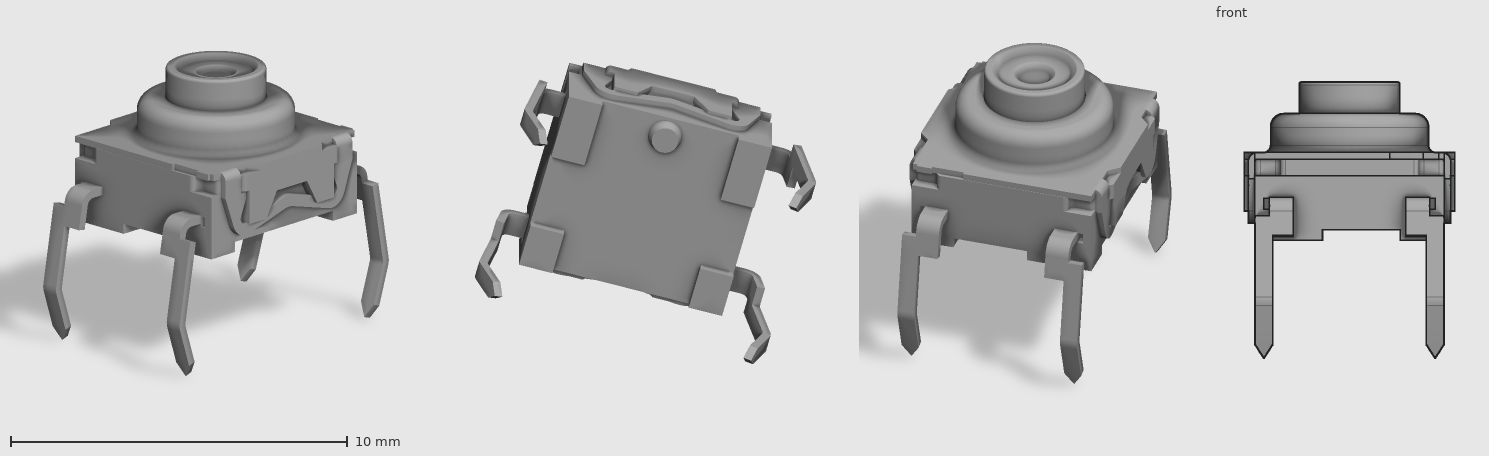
import cadquery as cq
import math

SIN_45 = math.sin(math.pi / 4)

body_width = 6.25
core_half_x = 2.81
half_body = body_width / 2

housing_top = 1.92
seal_top = 2.41
sheet = 0.2
cover_top = seal_top + sheet

foot_height = 0.31
foot_inner_y = 2.1
foot_left_x = -0.8
foot_right_x = 1.51
peg_x = -2.2
peg_base_radius = 0.5
peg_tip_radius = 0.395

latch_half_y = 1.81
latch_bottom = 0.87
notch_half_bottom = 1.085
notch_half_top = 0.65
notch_top = 1.65
notch_fillet = 0.25

seal_tab_half_y = 2.05
seal_radius = 0.15
seal_corner_y = half_body - 2 * seal_radius
wave_inner_x = 1.9
wave_outer_x = wave_inner_x + 2 * seal_radius

cover_half_y = 3.11
tongue_half_y = 1.28
edge_notch_depth = 0.09
edge_notch_start = 1.2
edge_notch_end = 2.19
corner_notch_start = 2.655

dome_top = 3.77
dome_diameter = 4.7
dome_bore = 4.3
dome_shoulder = 0.4
dome_flare = 0.21
button_hole = 3.05

stirrup_inner_y = 2.05
stirrup_outer_y = 2.72
bend_start_x = 2.745
bend_outer = core_half_x + sheet - bend_start_x
bend_inner = bend_outer - sheet
bend_z = cover_top - bend_outer
leg_taper_z = 1.83
leg_step_y = 1.85
leg_step_z = 1.84
leg_slope_z = 1.63
beam_outer_corner = (2.19, 0.395)
beam_inner_corner = (2.22, 0.76)
beam_outer_peak = 1.0
beam_inner_peak = 1.37
beam_outer_fillet = 0.56
beam_inner_fillet = 0.2
beam_peak_fillet = 0.6

plunger_top = 4.71
plunger_diameter = 3.0
plunger_round = 0.09
dish_rim_radius = 1.26
dish_floor_radius = 1.07
dish_depth = 0.17
dimple_rim_radius = 0.62
dimple_floor_radius = 0.44
dimple_depth = 0.15
dish_fillet = 0.045

lead_sheet = 0.25
lead_top = 1.27
lead_half_span = 4.485
lead_embed = 0.54
lead_bend_outer = 0.475
knee_outer = 0.52
knee_z = -1.77
upper_lean = math.radians(10.4)
lower_lean = math.radians(18)
lead_tip_z = -3.51
lead_outer_x = core_half_x
tab_inner_x = 1.67
neck_outer_x = 2.38
pin_inner_x = 2.28
tab_top_z = 0.74
tab_bottom_z = 0.15
point_length = 0.43
slot_outer_x = 2.55
slot_bottom = 0.92
slot_top = 1.25
slot_depth = 0.27


def block(x0, x1, y0, y1, z0, z1):
    """Rectangular block between two opposite corners."""
    return cq.Workplane("XY").box(x1 - x0, y1 - y0, z1 - z0, centered=False).translate((x0, y0, z0))


def both_sides(shape, plane):
    """The shape together with its mirror image."""
    return shape.union(shape.mirror(plane))


def cover_plate():
    step = half_body - core_half_x
    quarter = (
        cq.Workplane("XY").workplane(offset=seal_top)
        .polyline([
            (0, 0), (half_body, 0), (half_body, tongue_half_y),
            (core_half_x, tongue_half_y + step), (core_half_x, cover_half_y), (0, cover_half_y),
        ])
        .close().extrude(sheet)
    )
    plate = both_sides(both_sides(quarter, "YZ"), "XZ")
    notch_y = cover_half_y - edge_notch_depth
    notches = block(edge_notch_start, edge_notch_end, notch_y, half_body, seal_top, cover_top)
    notches = notches.union(block(corner_notch_start, half_body, notch_y, half_body, seal_top, cover_top))
    slots = block(bend_start_x, half_body, stirrup_inner_y, stirrup_outer_y, seal_top, cover_top)
    return plate.cut(both_sides(notches, "XZ")).cut(both_sides(both_sides(slots, "XZ"), "YZ"))


def dome_form(radius, top, shoulder):
    """Solid cylinder with a rounded shoulder, standing on the seal."""
    return (
        cq.Workplane("XY").workplane(offset=seal_top).circle(radius).extrude(top - seal_top)
        .faces(">Z").edges().fillet(shoulder)
    )


def dome_flare_ring():
    """Concave round between the plate and the dome wall."""
    radius = dome_diameter / 2
    middle = (radius + dome_flare * (1 - SIN_45), cover_top + dome_flare * (1 - SIN_45))
    return (
        cq.Workplane("XZ").moveTo(dome_bore / 2, cover_top).lineTo(radius + dome_flare, cover_top)
        .threePointArc(middle, (radius, cover_top + dome_flare))
        .lineTo(dome_bore / 2, cover_top + dome_flare).close()
        .revolve(360, (0, 0, 0), (0, 1, 0))
    )


def stirrup_strap():
    """Flat W-shaped strap hanging on the +X side."""
    corner_y, corner_z = beam_outer_corner
    inner_y, inner_z = beam_inner_corner
    outer_half = [
        (stirrup_inner_y, bend_z), (stirrup_outer_y, bend_z), (stirrup_outer_y, leg_taper_z),
        (corner_y, corner_z), (0, beam_outer_peak),
    ]
    inner_half = [
        (0, beam_inner_peak), (inner_y, inner_z), (leg_step_y, leg_slope_z),
        (leg_step_y, leg_step_z), (stirrup_inner_y, leg_step_z),
    ]
    mirrored_outer = [(-y, z) for y, z in reversed(outer_half[:-1])]
    mirrored_inner = [(-y, z) for y, z in reversed(inner_half[1:])]
    strap = (
        cq.Workplane("YZ").workplane(offset=core_half_x)
        .polyline(outer_half + mirrored_outer + mirrored_inner + inner_half).close().extrude(sheet)
    )

    def at_corner(y, z):
        """Test for a corner edge at this Y and Z, on either side of the middle."""
        tolerance = 0.01
        return lambda edge: math.hypot(abs(edge.Center().y) - y, edge.Center().z - z) < tolerance

    roundings = [
        (beam_outer_corner, beam_outer_fillet),
        (beam_inner_corner, beam_inner_fillet),
        ((0, beam_outer_peak), beam_peak_fillet),
        ((0, beam_inner_peak), beam_peak_fillet),
    ]
    for (y, z), radius in roundings:
        strap = strap.edges("|X").filter(at_corner(y, z)).fillet(radius)
    return strap


def stirrup_bend():
    """Quarter-round bends joining the strap's two legs to the plate."""
    bend = (
        cq.Workplane("XZ").moveTo(bend_start_x, bend_z + bend_inner)
        .lineTo(bend_start_x, cover_top)
        .threePointArc((bend_start_x + bend_outer * SIN_45, bend_z + bend_outer * SIN_45),
                       (bend_start_x + bend_outer, bend_z))
        .lineTo(bend_start_x + bend_inner, bend_z)
        .threePointArc((bend_start_x + bend_inner * SIN_45, bend_z + bend_inner * SIN_45),
                       (bend_start_x, bend_z + bend_inner))
        .close().extrude(stirrup_outer_y - stirrup_inner_y)
        .translate((0, stirrup_outer_y, 0))
    )
    return both_sides(bend, "XZ")


def make_cover():
    dome = dome_form(dome_diameter / 2, dome_top, dome_shoulder)
    hollow = dome_form(dome_bore / 2, dome_top - sheet, dome_shoulder - sheet)
    hole = cq.Workplane("XY").workplane(offset=seal_top).circle(button_hole / 2).extrude(dome_top - seal_top)
    stirrup = stirrup_strap().union(stirrup_bend())
    shell = cover_plate().union(dome).union(dome_flare_ring()).cut(hollow).cut(hole)
    return shell.union(both_sides(stirrup, "YZ"))


def make_seal(cover):
    wave_middle = ((wave_inner_x + wave_outer_x) / 2, (half_body + seal_corner_y) / 2)
    quarter = (
        cq.Workplane("XY").workplane(offset=housing_top)
        .moveTo(0, 0).lineTo(half_body, 0).lineTo(half_body, seal_tab_half_y - seal_radius)
        .threePointArc((half_body - seal_radius * (1 - SIN_45), seal_tab_half_y - seal_radius * (1 - SIN_45)),
                       (half_body - seal_radius, seal_tab_half_y))
        .lineTo(core_half_x, seal_tab_half_y).lineTo(core_half_x, seal_corner_y - seal_radius)
        .threePointArc((core_half_x - seal_radius * (1 - SIN_45), seal_corner_y - seal_radius * (1 - SIN_45)),
                       (core_half_x - seal_radius, seal_corner_y))
        .lineTo(wave_outer_x, seal_corner_y)
        .tangentArcPoint(wave_middle, relative=False)
        .tangentArcPoint((wave_inner_x, half_body), relative=False)
        .lineTo(0, half_body).close().extrude(seal_top - housing_top)
    )
    return both_sides(both_sides(quarter, "YZ"), "XZ").cut(cover)


def lead_normal(lean):
    """Outward (Y, Z) normal of a stretch leaning by the given angle."""
    return math.cos(lean), math.sin(lean)


def on_arc(center, radius, lean):
    """Point of a bend where the strip leans by the given angle."""
    ny, nz = lead_normal(lean)
    return center[0] + radius * ny, center[1] + radius * nz


def lead_centers():
    """Centres of the shoulder bend and of the knee, as (distance from the XZ plane, Z)."""
    knee = (lead_half_span - knee_outer, knee_z)
    ny, nz = lead_normal(upper_lean)
    bend_center_z = lead_top - lead_bend_outer
    bend_center_y = knee[0] + ((knee[1] - bend_center_z) * nz + knee_outer - lead_bend_outer) / ny
    return (bend_center_y, bend_center_z), knee


def make_lead():
    """Lead of the (-X, -Y) corner: a strip bent at (+X, +Y), trimmed to its outline and turned half round."""
    bend, knee = lead_centers()
    bend_inner_radius = lead_bend_outer - lead_sheet
    knee_inner_radius = knee_outer - lead_sheet
    bend_middle = (math.pi / 2 + upper_lean) / 2
    knee_middle = (upper_lean - lower_lean) / 2
    ny, nz = lead_normal(-lower_lean)
    knee_end = on_arc(knee, knee_outer, -lower_lean)
    run = (knee_end[1] - lead_tip_z) / ny
    tip_outer = (knee_end[0] + run * nz, lead_tip_z)
    tip_inner = (tip_outer[0] - lead_sheet * ny, tip_outer[1] - lead_sheet * nz)
    start_y = half_body - lead_embed
    strip = (
        cq.Workplane("YZ").workplane(offset=tab_inner_x)
        .moveTo(start_y, lead_top).lineTo(bend[0], lead_top)
        .threePointArc(on_arc(bend, lead_bend_outer, bend_middle), on_arc(bend, lead_bend_outer, upper_lean))
        .lineTo(*on_arc(knee, knee_outer, upper_lean))
        .threePointArc(on_arc(knee, knee_outer, knee_middle), knee_end)
        .lineTo(*tip_outer).lineTo(*tip_inner)
        .lineTo(*on_arc(knee, knee_inner_radius, -lower_lean))
        .threePointArc(on_arc(knee, knee_inner_radius, knee_middle),
                       on_arc(knee, knee_inner_radius, upper_lean))
        .lineTo(*on_arc(bend, bend_inner_radius, upper_lean))
        .threePointArc(on_arc(bend, bend_inner_radius, bend_middle), (bend[0], lead_top - lead_sheet))
        .lineTo(start_y, lead_top - lead_sheet).close()
        .extrude(lead_outer_x - tab_inner_x)
    )
    strip = strip.cut(lead_windows(bend)).cut(lead_point(tip_outer))
    return strip.rotate((0, 0, 0), (0, 0, 1), 180)


def leaning_plane(point, lean):
    """Plane flush with a leaning stretch: local X along -X, local Y up the strip."""
    ny, nz = lead_normal(lean)
    return cq.Plane(origin=(0, point[0], point[1]), xDir=(-1, 0, 0), normal=(0, ny, nz))


def lead_windows(bend):
    """Stock removed beside the narrow neck above the tab and beside the pin below it."""
    reach = body_width
    face_point = on_arc(bend, lead_bend_outer, upper_lean)
    up_strip = math.cos(upper_lean)
    tab_top = (tab_top_z - face_point[1]) / up_strip
    tab_bottom = (tab_bottom_z - face_point[1]) / up_strip
    plane = cq.Workplane(leaning_plane(face_point, upper_lean))
    beside_neck = (
        plane.moveTo(-lead_outer_x, tab_top).lineTo(-neck_outer_x, tab_top)
        .lineTo(-neck_outer_x, reach).lineTo(-lead_outer_x, reach).close().extrude(reach, both=True)
    )
    beside_pin = (
        plane.moveTo(-pin_inner_x, tab_bottom).lineTo(-tab_inner_x, tab_bottom)
        .lineTo(-tab_inner_x, -reach).lineTo(-pin_inner_x, -reach).close().extrude(reach, both=True)
    )
    return beside_neck.union(beside_pin)


def lead_point(tip):
    """Two corners removed so that the pin ends in a point."""
    middle_x = (lead_outer_x + pin_inner_x) / 2
    plane = cq.Workplane(leaning_plane(tip, -lower_lean))
    outlines = [[(-x, 0), (-middle_x, 0), (-x, point_length)] for x in (lead_outer_x, pin_inner_x)]
    corners = [plane.polyline(outline).close().extrude(2 * lead_sheet, both=True) for outline in outlines]
    return corners[0].union(corners[1])


def make_leads():
    lead = make_lead()
    opposite = lead.mirror("XZ")
    return [lead, opposite, lead.mirror("YZ"), opposite.mirror("YZ")]


def latch_block():
    """Latch block of the +X side with a trapezoidal notch at its middle."""
    latch = block(core_half_x, half_body, -latch_half_y, latch_half_y, latch_bottom, housing_top)
    notch = (
        cq.Workplane("YZ").workplane(offset=core_half_x)
        .polyline([
            (-notch_half_bottom, latch_bottom), (-notch_half_top, notch_top),
            (notch_half_top, notch_top), (notch_half_bottom, latch_bottom),
        ])
        .close().extrude(half_body - core_half_x)
        .faces("<X").edges(">Z").fillet(notch_fillet)
    )
    return latch.cut(notch)


def housing_feet():
    feet = block(-core_half_x, foot_left_x, foot_inner_y, half_body, 0, foot_height)
    feet = feet.union(block(foot_right_x, core_half_x, foot_inner_y, half_body, 0, foot_height))
    return both_sides(feet, "XZ")


def locating_peg():
    return (
        cq.Workplane("XY").circle(peg_tip_radius).workplane(offset=foot_height)
        .circle(peg_base_radius).loft().translate((peg_x, 0, 0))
    )


def lead_slots():
    """Small pockets in the housing walls beside the lead necks."""
    slot = block(neck_outer_x, slot_outer_x, half_body - slot_depth, half_body, slot_bottom, slot_top)
    return both_sides(both_sides(slot, "YZ"), "XZ")


def make_housing(cover, leads):
    housing = block(-core_half_x, core_half_x, -half_body, half_body, foot_height, housing_top)
    housing = housing.union(both_sides(latch_block(), "YZ")).union(housing_feet()).union(locating_peg())
    housing = housing.cut(lead_slots()).cut(cover)
    for lead in leads:
        housing = housing.cut(lead)
    return housing


def make_plunger():
    dish_z = plunger_top - dish_depth
    dimple_z = dish_z - dimple_depth
    plunger = (
        cq.Workplane("XZ")
        .polyline([
            (0, seal_top), (plunger_diameter / 2, seal_top),
            (plunger_diameter / 2, plunger_top), (dish_rim_radius, plunger_top),
            (dish_floor_radius, dish_z), (dimple_rim_radius, dish_z), (dimple_floor_radius, dimple_z),
            (0, dimple_z),
        ])
        .close().revolve(360, (0, 0, 0), (0, 1, 0))
    )
    plunger = plunger.faces(">Z").edges(cq.selectors.RadiusNthSelector(-1)).fillet(plunger_round)
    dish_limit = dish_rim_radius + dish_fillet
    return plunger.edges("%CIRCLE").filter(lambda edge: edge.radius() < dish_limit).fillet(dish_fillet)


cover = make_cover()
seal = make_seal(cover)
leads = make_leads()
housing = make_housing(cover, leads)
plunger = make_plunger()

result = cq.Compound.makeCompound(
    [housing.val(), seal.val(), cover.val(), plunger.val(), *[lead.val() for lead in leads]]
)